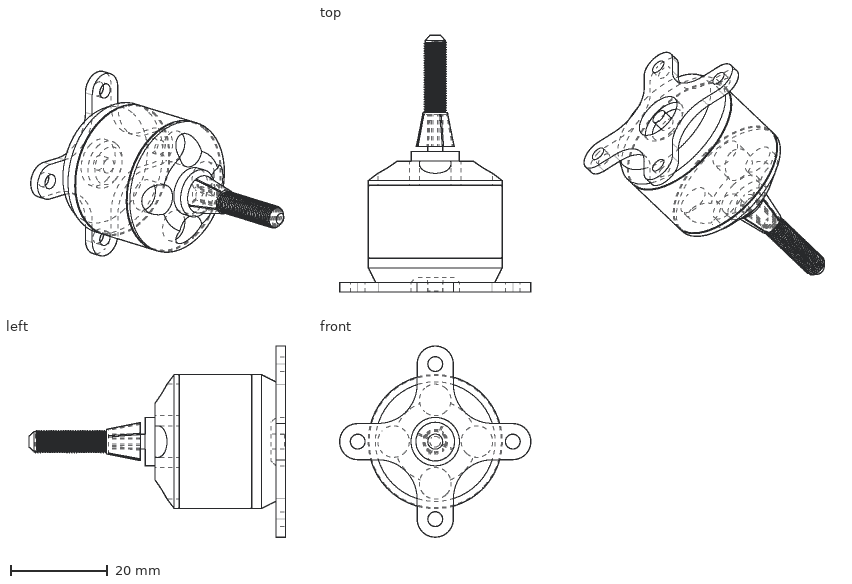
import cadquery as cq


mount_thickness = 2.0
arm_hole_reach = 16.0
arm_half_width = 3.75
arm_hole_diameter = 3.0
arm_root_fillet = 8.0
mount_bore_radius = 5.0
arm_count = 4

motor_radius = 13.85
base_front_radius = 12.35
base_cone_end = 5.0
can_start = 7.0
can_end = 22.0
cap_cone_start = 23.0
cap_end = 27.0
cap_end_radius = 8.5
collar_radius = 5.0
collar_end = 29.0
groove_width = 0.1
groove_depth = 0.2
recess_depth = 1.0
recess_floor_radius = mount_bore_radius - recess_depth
vent_count = 4
vent_radius = 3.25
vent_center_radius = 8.6
shaft_radius = 1.55
shaft_front = 0.2

adapter_start = 30.0
collet_end = 37.0
adapter_end = 53.0
collet_large_radius = 3.95
collet_small_radius = 2.55
slot_count = 4
slot_width = 0.3
slot_turn = 24.0
slot_end = 36.6
tip_radius = 1.1
tip_chamfer_length = 1.1
thread_crest_radius = 2.3
thread_root_radius = 2.1
thread_pitch = 0.5
thread_half_base = 0.24
thread_sink = 0.05
thread_end = adapter_end - tip_chamfer_length


def revolve_about_y(profile):
    """Revolve a closed profile of (y, radius) points about the Y axis."""
    return cq.Workplane("YZ").polyline(profile).close().revolve(360, (0, 0, 0), (1, 0, 0))


def cylinder_along_y(radius, start, end):
    """Cylinder on the Y axis between two Y positions."""
    sketch = cq.Workplane("XZ", origin=(0, start, 0)).circle(radius)
    return sketch.extrude(start - end)


def around_y(shape, count, first_angle=0.0):
    """Copies of a shape, evenly spaced around the Y axis."""
    step = 360.0 / count
    return [shape.rotate((0, 0, 0), (0, 1, 0), first_angle + i * step) for i in range(count)]


def make_mount():
    """Four-armed flat cross with rounded arm ends, filleted roots and a central bore."""
    length = 2 * arm_hole_reach
    width = 2 * arm_half_width
    sketch = cq.Workplane("XZ")
    bars = sketch.rect(length, width).extrude(-mount_thickness)
    bars = bars.union(sketch.rect(width, length).extrude(-mount_thickness))
    root_edges = cq.selectors.BoxSelector(
        (-width, -mount_thickness, -width), (width, 2 * mount_thickness, width)
    )
    mount = bars.edges("|Y").edges(root_edges).fillet(arm_root_fillet)
    arm_end = cylinder_along_y(arm_half_width, 0, mount_thickness).translate((arm_hole_reach, 0, 0))
    arm_hole = cylinder_along_y(arm_hole_diameter / 2, 0, mount_thickness)
    arm_hole = arm_hole.translate((arm_hole_reach, 0, 0))
    for end in around_y(arm_end, arm_count):
        mount = mount.union(end)
    for hole in around_y(arm_hole, arm_count):
        mount = mount.cut(hole)
    return mount.cut(cylinder_along_y(mount_bore_radius, 0, mount_thickness))


def groove_points(center):
    """Profile points of one square groove around the motor, centred at a Y position."""
    start = center - groove_width / 2
    end = center + groove_width / 2
    floor_radius = motor_radius - groove_depth
    return [(start, motor_radius), (start, floor_radius), (end, floor_radius), (end, motor_radius)]


def make_motor():
    """Solid motor with its collar and shaft, grooved at both ends of the can."""
    recess_floor = mount_thickness + recess_depth
    motor = revolve_about_y([
        (shaft_front, 0),
        (shaft_front, shaft_radius),
        (recess_floor, shaft_radius),
        (recess_floor, recess_floor_radius),
        (mount_thickness, mount_bore_radius),
        (mount_thickness, base_front_radius),
        (base_cone_end, motor_radius),
        *groove_points(can_start),
        *groove_points(can_end),
        (cap_cone_start, motor_radius),
        (cap_end, cap_end_radius),
        (cap_end, collar_radius),
        (collar_end, collar_radius),
        (collar_end, shaft_radius),
        (slot_end, shaft_radius),
        (slot_end, 0),
    ])
    vent = cylinder_along_y(vent_radius, can_end, cap_end).translate((vent_center_radius, 0, 0))
    for hole in around_y(vent, vent_count):
        motor = motor.cut(hole)
    return motor


def make_thread():
    """Helical V-ridge, its base sunk a little into the stud core."""
    height = thread_end - collet_end - thread_pitch / 2
    base_radius = thread_root_radius - thread_sink
    helix = cq.Wire.makeHelix(thread_pitch, height, base_radius)
    ridge = (
        cq.Workplane("XZ")
        .polyline([
            (base_radius, thread_half_base),
            (thread_crest_radius, 0),
            (base_radius, -thread_half_base),
        ])
        .close()
        .sweep(cq.Workplane(obj=helix), isFrenet=True)
    )
    ridge = ridge.rotate((0, 0, 0), (1, 0, 0), -90)
    return ridge.translate((0, collet_end, 0))


def make_adapter():
    """Tapered slotted collet with a threaded stud, bored for the shaft."""
    adapter = revolve_about_y([
        (adapter_start, shaft_radius),
        (adapter_start, collet_large_radius),
        (collet_end, collet_small_radius),
        (collet_end, thread_root_radius),
        (thread_end, thread_root_radius),
        (adapter_end, tip_radius),
        (adapter_end, 0),
        (slot_end, 0),
        (slot_end, shaft_radius),
    ])
    slot_length = slot_end - adapter_start
    slot = cq.Workplane("XY", origin=(0, adapter_start, 0)).box(
        collet_large_radius, slot_length, slot_width, centered=(False, False, True)
    )
    for cutter in around_y(slot, slot_count, slot_turn):
        adapter = adapter.cut(cutter)
    return adapter.union(make_thread(), clean=False)


mount = make_mount()
motor = make_motor()
adapter = make_adapter()

result = cq.Compound.makeCompound([body.solids().val() for body in (mount, motor, adapter)])